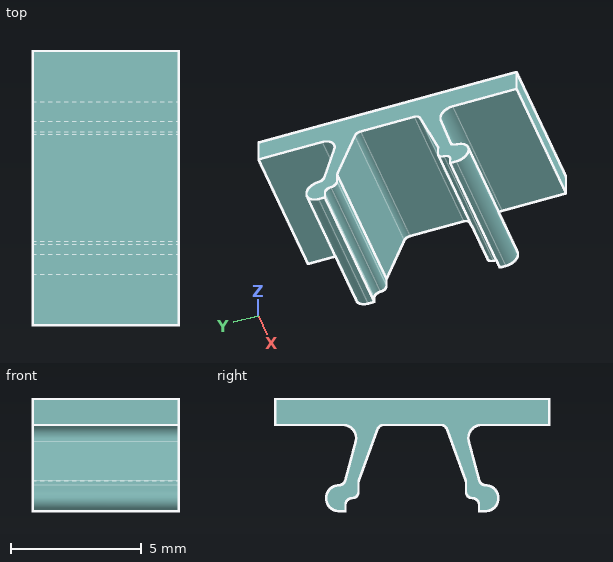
import cadquery as cq
import math

length = 5.6
plate_width = 10.5
plate_thickness = 1.0
total_height = 4.3

bead_radius = 0.5
bead_outer_y = 3.3
foot_inner_y = 2.05
step_width = 0.5

inner_flank_angle = math.radians(20)
outer_flank_angle = math.radians(15)
inner_flank_height = 2.15
outer_root_y = 2.0

outer_root_radius = 0.5
inner_root_radius = 0.25
neck_radius = 0.25
step_radius = step_width / 2

plate_bottom_z = -plate_thickness
bottom_z = -total_height
bead_y = bead_outer_y - bead_radius
bead_z = bottom_z + bead_radius
step_outer_y = foot_inner_y + step_width
step_mid_y = foot_inner_y + step_radius
inner_flank_bottom_z = plate_bottom_z - inner_flank_height
inner_root_y = foot_inner_y - inner_flank_height * math.tan(inner_flank_angle)


def polar(center, radius, angle):
    """Point on a YZ circle; the angle in radians runs from +Y towards +Z."""
    y, z = center
    return (y + radius * math.cos(angle), z + radius * math.sin(angle))


def neck_center():
    """Centre of the neck blend, tangent to the outer flank and to the bead."""
    normal_y = math.cos(outer_flank_angle)
    normal_z = math.sin(outer_flank_angle)
    bead_offset = (bead_y - outer_root_y) * normal_y + (bead_z - plate_bottom_z) * normal_z
    across = neck_radius - bead_offset
    along = math.sqrt((bead_radius + neck_radius) ** 2 - across**2)
    return (
        bead_y + across * normal_y - along * normal_z,
        bead_z + across * normal_z + along * normal_y,
    )


def leg_profile():
    """Closed outline of the leg on the +Y side, starting at its inner root."""
    inner_setback = inner_root_radius * math.tan(math.pi / 4 - inner_flank_angle / 2)
    inner_center = (inner_root_y - inner_setback, plate_bottom_z - inner_root_radius)
    inner_mid_angle = (math.pi / 2 + inner_flank_angle) / 2

    outer_setback = outer_root_radius * math.tan(math.pi / 4 + outer_flank_angle / 2)
    outer_center = (outer_root_y + outer_setback, plate_bottom_z - outer_root_radius)
    outer_end_angle = math.pi + outer_flank_angle
    outer_mid_angle = (math.pi / 2 + outer_end_angle) / 2

    neck = neck_center()
    bead_end_angle = math.atan2(neck[1] - bead_z, neck[0] - bead_y)
    neck_start_angle = bead_end_angle + math.pi
    neck_mid_angle = (neck_start_angle + outer_end_angle) / 2

    convex_center = (step_mid_y, bead_z + step_radius)
    concave_center = (step_mid_y, bead_z - step_radius)

    return (
        cq.Workplane("YZ")
        .moveTo(inner_center[0], plate_bottom_z)
        .threePointArc(
            polar(inner_center, inner_root_radius, inner_mid_angle),
            polar(inner_center, inner_root_radius, inner_flank_angle),
        )
        .lineTo(foot_inner_y, inner_flank_bottom_z)
        .lineTo(foot_inner_y, convex_center[1])
        .threePointArc(polar(convex_center, step_radius, math.radians(225)), (step_mid_y, bead_z))
        .threePointArc(
            polar(concave_center, step_radius, math.radians(45)),
            (step_outer_y, concave_center[1]),
        )
        .lineTo(step_outer_y, bottom_z)
        .lineTo(bead_y, bottom_z)
        .threePointArc(
            (bead_outer_y, bead_z),
            polar((bead_y, bead_z), bead_radius, bead_end_angle),
        )
        .threePointArc(
            polar(neck, neck_radius, neck_mid_angle),
            polar(neck, neck_radius, outer_end_angle),
        )
        .lineTo(*polar(outer_center, outer_root_radius, outer_end_angle))
        .threePointArc(
            polar(outer_center, outer_root_radius, outer_mid_angle),
            (outer_center[0], plate_bottom_z),
        )
        .close()
    )


def make_plate():
    plate_center_z = -plate_thickness / 2
    return cq.Workplane("XY").box(length, plate_width, plate_thickness).translate((0, 0, plate_center_z))


def make_leg():
    return leg_profile().extrude(length / 2, both=True)


leg = make_leg()
result = make_plate().union(leg).union(leg.mirror("XZ"))